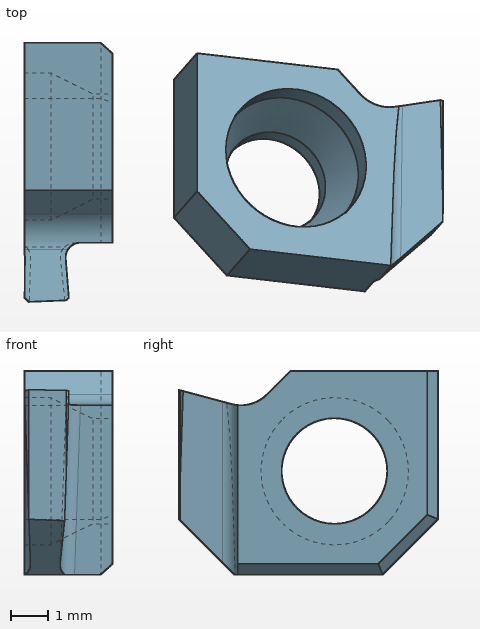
import cadquery as cq
import math

thickness = 2.38
length = 7.0
height = 5.5
corner_cut = 1.5
notch_start = 3.02
notch_radius = 1.0
tip_height = 4.99
rake_angle = 15.0

hole_y = 4.2
hole_z = 2.8
mouth_radius = 1.99
bore_radius = 1.42
mouth_depth = 0.71
seat_depth = 1.135

bevel_x = 0.32
bevel_inset = 0.295
corner_turn = 45.0

blade_width = 1.21
flank_lean = 2.0
flank_taper = 4.0
flank_radius = 0.39
relief_end = 1.19
shoulder_y = 1.595

left_corner = 0.11
right_corner = 0.085
tip_setback = 0.04

clearance = 0.7


def plate():
    rake_slope = math.tan(math.radians(rake_angle))
    notch_y = (tip_height - height + notch_start) / (1 + rake_slope)
    notch_z = tip_height - rake_slope * notch_y
    outline = [
        (corner_cut, 0),
        (length - corner_cut, 0),
        (length, corner_cut),
        (length, height),
        (notch_start, height),
        (notch_y, notch_z),
        (0, tip_height),
        (0, corner_cut),
    ]
    body = cq.Workplane("YZ").polyline(outline).close().extrude(thickness)
    notch_bottom = cq.selectors.NearestToPointSelector((thickness / 2, notch_y, notch_z))
    body = body.edges(notch_bottom).fillet(notch_radius)

    return body


def rear_bevel():
    """Sloped band along the +X rim of the rear, lower rear diagonal and bottom."""
    mitre = bevel_inset * math.tan(math.radians(corner_turn / 2))
    top = height + clearance
    front = -clearance
    rim = [
        (front, 0),
        (length - corner_cut, 0),
        (length, corner_cut),
        (length, top),
        (front, top),
    ]
    inset_rim = [
        (front, bevel_inset),
        (length - corner_cut - mitre, bevel_inset),
        (length - bevel_inset, corner_cut + mitre),
        (length - bevel_inset, top),
        (front, top),
    ]
    bevel_start = thickness - bevel_x
    block = cq.Workplane("YZ", origin=(bevel_start, 0, 0)).polyline(rim).close().extrude(bevel_x)
    kept = (
        cq.Workplane("YZ", origin=(bevel_start, 0, 0))
        .polyline(rim)
        .close()
        .workplane(offset=bevel_x)
        .polyline(inset_rim)
        .close()
        .loft(ruled=True)
    )
    return block.cut(kept)


def screw_hole():
    seat_end = mouth_depth + seat_depth
    profile = [
        (0, 0),
        (0, mouth_radius),
        (mouth_depth, mouth_radius),
        (seat_end, bore_radius),
        (thickness, bore_radius),
        (thickness, 0),
    ]
    hole = cq.Workplane("XY").polyline(profile).close().revolve(360, (0, 0), (1, 0))
    return hole.translate((0, hole_y, hole_z))


def leaning_plane(x, lean):
    """Plane at tip height whose normal leans by `lean` degrees toward +X."""
    angle = math.radians(lean)
    return cq.Plane(
        origin=(x, 0, tip_height),
        xDir=(math.cos(angle), 0, -math.sin(angle)),
        normal=(math.sin(angle), 0, math.cos(angle)),
    )


def left_relief():
    sketch = (
        cq.Workplane(leaning_plane(0, -flank_lean))
        .moveTo(0, -clearance)
        .lineTo(0, relief_end)
        .radiusArc((-flank_radius, relief_end + flank_radius), -flank_radius)
        .lineTo(-flank_radius, -clearance)
        .close()
    )
    return sketch.extrude(height + clearance, both=True)


def right_step():
    taper = math.tan(math.radians(flank_taper))
    outline = [
        (clearance * taper, -clearance),
        (-shoulder_y * taper, shoulder_y),
        (thickness, shoulder_y),
        (thickness, -clearance),
    ]
    sketch = cq.Workplane(leaning_plane(blade_width, flank_lean)).polyline(outline).close()
    cutter = sketch.extrude(height + clearance, both=True)
    root_x = blade_width - shoulder_y * taper
    root = cq.selectors.NearestToPointSelector((root_x, shoulder_y, tip_height))
    return cutter.edges(root).fillet(flank_radius)


def tip_trim():
    outline = [
        (0, left_corner),
        (left_corner, 0),
        (blade_width - right_corner, tip_setback),
        (blade_width, tip_setback + right_corner),
        (blade_width, -clearance),
        (0, -clearance),
    ]
    return cq.Workplane("XY").polyline(outline).close().extrude(height)


result = plate()
for cutter in (rear_bevel(), screw_hole(), left_relief(), right_step(), tip_trim()):
    result = result.cut(cutter)